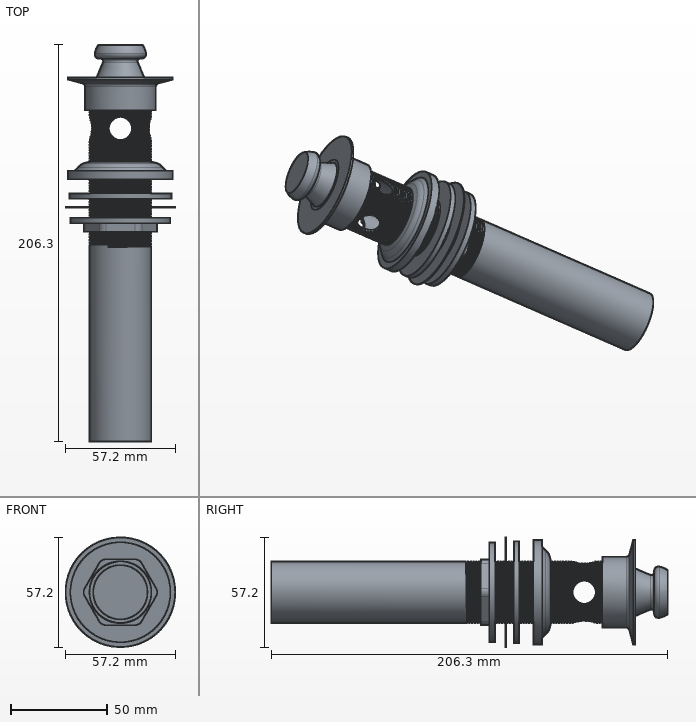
import cadquery as cq
import math


total_length = 206.27
tube_radius = 16.1
bore_radius = 14.1

overflow_radius = 6.0
overflow_height = 162.8

flange_radius = 27.3
flange_top = 189.4
flange_rim_thickness = 1.2
flange_root_radius = 19.7
flange_root_height = 186.2
barrel_radius = 18.5
barrel_bottom = 172.2
barrel_fillet_rise = 1.5

thread_pitch = 25.4 / 18
thread_depth = 0.8
thread_groove_width = 0.85 * thread_pitch
thread_bottom = 101.64
thread_start_angle = 247
thread_overrun_turns = 2
thread_top = barrel_bottom + thread_overrun_turns * thread_pitch
cutter_overshoot = 0.1

gasket_radius = flange_radius
gasket_bottom = 136.4
gasket_rim_top = 140.9
gasket_dome_base_radius = 23.8
gasket_dome_shoulder = (22.0, 142.6)
gasket_dome_middle = (20.8, 143.8)
gasket_dome_crest = (19.0, 144.8)
gasket_dome_top = (16.4, 145.5)

washers = [
    (26.6, 126.2, 2.8),
    (57.15 / 2, 121.7, 0.5),
    (26.0, 113.4, 3.1),
]

nut_across_flats = 34.2
nut_corner_fillet = 4.0
nut_bottom = 109.1
nut_top = washers[-1][1]

plug_bottom = 173.2
cone_base_radius = 12.4
neck_radius = 9.1
neck_height = 197.2
knob_radius = 13.4
knob_widest_height = 201.9
knob_top_radius = 11.5
knob_under_round = 2.8


def disc(radius, bottom, height):
    return cq.Workplane("XY").workplane(offset=bottom).circle(radius).extrude(height)


def revolved(profile):
    return profile.close().revolve(360, (0, 0, 0), (0, 1, 0))


def threaded_rod():
    """Solid rod with a helical V groove cut into its outside."""
    rod = disc(tube_radius, 0, flange_top)
    helix = cq.Wire.makeHelix(thread_pitch, thread_top - thread_bottom, tube_radius)
    mouth = tube_radius + cutter_overshoot
    half_mouth = thread_groove_width / 2 * (1 + cutter_overshoot / thread_depth)
    groove = (
        cq.Workplane("XZ")
        .moveTo(mouth, -half_mouth)
        .lineTo(mouth, half_mouth)
        .lineTo(tube_radius - thread_depth, 0)
        .close()
        .sweep(cq.Workplane(helix), isFrenet=True)
        .rotate((0, 0, 0), (0, 0, 1), thread_start_angle)
        .translate((0, 0, thread_bottom))
    )
    return rod.cut(groove)


def flange_and_barrel():
    profile = (
        cq.Workplane("XZ")
        .moveTo(0, barrel_bottom)
        .lineTo(barrel_radius, barrel_bottom)
        .lineTo(barrel_radius, flange_root_height - barrel_fillet_rise)
        .tangentArcPoint((flange_root_radius, flange_root_height), relative=False)
        .lineTo(flange_radius, flange_top - flange_rim_thickness)
        .lineTo(flange_radius, flange_top)
        .lineTo(0, flange_top)
    )
    return revolved(profile)


def domed_gasket():
    profile = (
        cq.Workplane("XZ")
        .moveTo(0, gasket_bottom)
        .lineTo(gasket_radius, gasket_bottom)
        .lineTo(gasket_radius, gasket_rim_top)
        .lineTo(gasket_dome_base_radius, gasket_rim_top)
        .lineTo(*gasket_dome_shoulder)
        .threePointArc(gasket_dome_middle, gasket_dome_crest)
        .lineTo(*gasket_dome_top)
        .lineTo(0, gasket_dome_top[1])
    )
    return revolved(profile)


def hex_nut():
    """Hexagon with rounded corners."""
    corner_diameter = nut_across_flats / math.cos(math.pi / 6)
    hexagon = cq.Workplane("XY").workplane(offset=nut_bottom).polygon(6, corner_diameter)
    return hexagon.extrude(nut_top - nut_bottom).edges("|Z").fillet(nut_corner_fillet)


def overflow_holes():
    across = cq.Workplane("YZ").center(0, overflow_height).circle(overflow_radius)
    along_x = across.extrude(tube_radius + cutter_overshoot, both=True)
    return along_x.union(along_x.rotate((0, 0, 0), (0, 0, 1), 90))


def make_drain_body():
    body = threaded_rod()
    body = body.union(flange_and_barrel()).union(domed_gasket()).union(hex_nut())
    for radius, bottom, thickness in washers:
        body = body.union(disc(radius, bottom, thickness))
    return body.cut(disc(bore_radius, 0, flange_top)).cut(overflow_holes())


def make_stopper():
    """Plug that closes the bore, with a conical stem and a rounded grip knob."""
    knob_underside = (knob_radius - knob_under_round, knob_widest_height - knob_under_round)
    profile = (
        cq.Workplane("XZ")
        .moveTo(0, plug_bottom)
        .lineTo(bore_radius, plug_bottom)
        .lineTo(bore_radius, flange_top)
        .lineTo(cone_base_radius, flange_top)
        .lineTo(neck_radius, neck_height)
        .tangentArcPoint(knob_underside, relative=False)
        .tangentArcPoint((knob_radius, knob_widest_height), relative=False)
        .tangentArcPoint((knob_top_radius, total_length), relative=False)
        .lineTo(0, total_length)
    )
    return revolved(profile)


def laid_along_y(body):
    return body.rotate((0, 0, 0), (1, 0, 0), -90)


drain_body = laid_along_y(make_drain_body())
stopper = laid_along_y(make_stopper())

result = cq.Compound.makeCompound([drain_body.solids().val(), stopper.solids().val()])